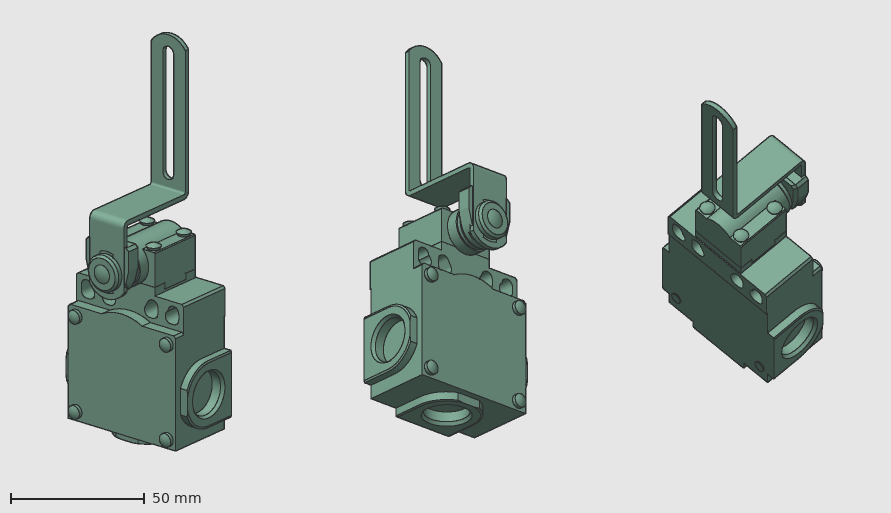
import cadquery as cq
import math


body_width = 52.0
body_depth = 28.8
cover_height = 46.3
shoulder_height = 57.5
upper_depth = 24.0
corner_chamfer = 0.9
crown_half_width = 9.8
crown_rise = 2.4
back_pad = 0.5
foot_radius = 2.2
foot_x = 22.0
foot_z = 6.9

entry_projection = 3.5
entry_radius = 13.5
entry_depth = 25.9
entry_z = 19.1
entry_edge_out = 0.8
entry_edge_in = 0.3
entry_bore_radius = 8.75
entry_bore_depth = 5.5
entry_bore_chamfer = 0.8
entry_chamfer_depth = 1.5

cover_screw_radius = 2.75
cover_screw_rim = 1.5
cover_screw_dome = 0.8
cover_screw_x = 22.1
cover_screw_z = (3.8, 42.2)

mount_radius = 2.6
mount_top_z = 53.1
mount_low_z = 50.9
mount_shift = 1.3
mount_outer_x = 21.0
mount_inner_x = 10.9

head_width = 24.0
head_base_z = 61.0
head_top_z = 75.0
head_edge = 0.4
tongue_bottom_z = 58.5
tongue_back = 5.7
tongue_front = 17.9
shaft_z = 68.4
barrel_radius = 9.0
barrel_depth = 28.9
head_screw_radius = 2.9
head_screw_x = 8.9
head_screw_depths = (3.1, 20.9)
head_screw_cone_base = 2.3
head_screw_cone = 1.2
head_screw_dome = 1.1

lever_width = 16.6
lever_thickness = 2.0
lever_front = 37.8
lever_bottom_z = shaft_z - 10.8
lever_top_z = 152.97
lever_step_z = 90.7
lever_end_radius = 10.0
bend_inner_radius = 0.9
bend_outer_radius = bend_inner_radius + lever_thickness
lever_slot_width = 5.2
lever_slot_length = 53.7
lever_slot_margin = 4.7

hub_half_width = 10.3
hub_top_z = 80.3
hub_chamfer = 1.2
hub_side_bottom_z = 71.1
hub_radius = 9.3
hub_flare_z = 66.5
hub_back = 30.6
hub_front = 37.4
hub_collar = 1.2
hub_collar_side_inset = 1.3
hub_collar_inset = 0.7
neck_radius = 8.4
key_width = 6.4
key_radius = 8.4
shaft_radius = 3.7
hub_pocket_z = (60.5, 62.6)
hub_pocket_length = 1.8

nut_radius = 7.4
nut_thickness = 2.8
nut_chamfer_out = 1.0
nut_chamfer_in = 0.9
shaft_tip = 41.35


def front_plane(depth, x=0, z=0):
    """Sketch plane at a depth in front of Y = 0; extrusion runs forward."""
    return cq.Workplane("XZ", origin=(x, -depth, z))


def block(width, depth_from, depth_to, z_from, z_to):
    """Box centred on X between two depths and two heights."""
    depth = depth_to - depth_from
    return (
        front_plane(depth_from)
        .center(0, (z_from + z_to) / 2)
        .rect(width, z_to - z_from)
        .extrude(depth)
    )


def dome(radius, height):
    """Spherical cap standing on the XY plane."""
    sphere_radius = (radius**2 + height**2) / (2 * height)
    mid_x = radius / 2
    mid_z = height - sphere_radius + math.sqrt(sphere_radius**2 - mid_x**2)
    return (
        cq.Workplane("XZ")
        .lineTo(radius, 0)
        .threePointArc((mid_x, mid_z), (0, height))
        .close()
        .revolve(360, (0, 0, 0), (0, 1, 0))
    )


def main_block():
    half = body_width / 2
    cover = (
        front_plane(0)
        .moveTo(-half, 0)
        .lineTo(half, 0)
        .lineTo(half, cover_height - corner_chamfer)
        .lineTo(half - corner_chamfer, cover_height)
        .lineTo(crown_half_width, cover_height)
        .threePointArc((0, cover_height + crown_rise), (-crown_half_width, cover_height))
        .lineTo(-half + corner_chamfer, cover_height)
        .lineTo(-half, cover_height - corner_chamfer)
        .close()
        .extrude(body_depth)
    )
    upper = block(body_width, 0, upper_depth, 0, shoulder_height)
    pad = block(body_width, -back_pad, 0, cover_height - corner_chamfer, shoulder_height)
    upper = upper.union(pad).edges("|Y and >Z").chamfer(corner_chamfer)
    return cover.union(upper)


def head_stub():
    stub = block(head_width, 0, upper_depth, shoulder_height, head_base_z)
    recess = block(head_width, tongue_back, tongue_front, tongue_bottom_z, head_base_z)
    return stub.cut(recess)


def cable_entry(plane):
    """Boss and its bore; the plane's local x points to the front, z outward."""
    boss = (
        cq.Workplane(plane)
        .moveTo(-entry_radius, -entry_radius)
        .lineTo(entry_radius, -entry_radius)
        .threePointArc((2 * entry_radius, 0), (entry_radius, entry_radius))
        .lineTo(-entry_radius, entry_radius)
        .close()
        .extrude(entry_projection)
    )
    boss = boss.faces(cq.selectors.DirectionMinMaxSelector(plane.zDir))
    boss = boss.chamfer(entry_edge_in, entry_edge_out)
    flat_trim = (
        cq.Workplane(plane)
        .center(entry_depth / 2, 0)
        .rect(entry_depth, 2 * entry_radius)
        .extrude(entry_projection)
    )
    boss = boss.intersect(flat_trim)
    mouth = entry_bore_radius + entry_bore_chamfer
    bore_profile = (
        cq.Workplane(cq.Plane(plane.origin, plane.xDir, -plane.yDir))
        .moveTo(entry_radius, entry_projection)
        .lineTo(entry_radius + mouth, entry_projection)
        .lineTo(entry_radius + entry_bore_radius, entry_projection - entry_chamfer_depth)
        .lineTo(entry_radius + entry_bore_radius, entry_projection - entry_bore_depth)
        .lineTo(entry_radius, entry_projection - entry_bore_depth)
        .close()
    )
    bore = bore_profile.revolve(360, (entry_radius, 0, 0), (entry_radius, 1, 0))
    return boss, bore


def slot_between(start, end):
    """Through slot whose end arcs are centred on two (x, z) points."""
    run = end[0] - start[0]
    rise = end[1] - start[1]
    length = math.hypot(run, rise) + 2 * mount_radius
    middle_x = (start[0] + end[0]) / 2
    middle_z = (start[1] + end[1]) / 2
    angle = math.degrees(math.atan2(rise, run))
    slot = front_plane(-back_pad, middle_x, middle_z).slot2D(length, 2 * mount_radius, angle)
    return slot.extrude(body_depth)


def cut_mounting_holes(housing):
    """Vertical slots with a toe towards the middle; the inner pair is filled out diagonally."""
    for side in (-1, 1):
        for x in (mount_outer_x, mount_inner_x):
            top = (side * x, mount_top_z)
            low = (side * x, mount_low_z)
            toe = (side * (x - mount_shift), mount_low_z)
            housing = housing.cut(slot_between(low, top)).cut(slot_between(low, toe))
            if x == mount_inner_x:
                housing = housing.cut(slot_between(toe, top))
    return housing


def cover_screw(x, z):
    """Cylindrical screw head with a domed top on the cover."""
    rim = front_plane(body_depth, x, z).circle(cover_screw_radius).extrude(cover_screw_rim)
    cap = dome(cover_screw_radius, cover_screw_dome).rotate((0, 0, 0), (1, 0, 0), 90)
    return rim.union(cap.translate((x, -body_depth - cover_screw_rim, z)))


def make_housing():
    half = body_width / 2
    housing = main_block().union(head_stub())
    entry_planes = [
        cq.Plane((-half, 0, entry_z), (0, -1, 0), (-1, 0, 0)),
        cq.Plane((half, 0, entry_z), (0, -1, 0), (1, 0, 0)),
        cq.Plane((0, 0, 0), (0, -1, 0), (0, 0, -1)),
    ]
    for plane in entry_planes:
        boss, bore = cable_entry(plane)
        housing = housing.union(boss).cut(bore)
    feet = (
        front_plane(-back_pad)
        .pushPoints([(-foot_x, foot_z), (foot_x, foot_z)])
        .circle(foot_radius)
        .extrude(back_pad)
    )
    housing = housing.union(feet)
    for x in (-cover_screw_x, cover_screw_x):
        for z in cover_screw_z:
            housing = housing.union(cover_screw(x, z))
    return cut_mounting_holes(housing)


def head_screw():
    """Countersunk, domed screw head, standing on the XY plane."""
    cone = (
        cq.Workplane("XY")
        .circle(head_screw_cone_base)
        .workplane(offset=head_screw_cone)
        .circle(head_screw_radius)
        .loft()
    )
    cap = dome(head_screw_radius, head_screw_dome)
    return cone.union(cap.translate((0, 0, head_screw_cone)))


def make_head():
    head = block(head_width, 0, upper_depth, head_base_z, head_top_z)
    head = head.faces(">Z").edges("|Y").chamfer(head_edge)
    tongue = block(head_width, tongue_back, tongue_front, tongue_bottom_z, head_base_z)
    barrel = front_plane(0, 0, shaft_z).circle(barrel_radius).extrude(barrel_depth)
    barrel = barrel.cut(block(head_width, 0, upper_depth, tongue_bottom_z, head_base_z))
    head = head.union(tongue).union(barrel)
    for x in (-head_screw_x, head_screw_x):
        for depth in head_screw_depths:
            head = head.union(head_screw().translate((x, -depth, head_top_z)))
    return head


def key_and_shaft(key_from, key_to):
    """Key and shaft that fill the lever opening between two depths."""
    length = key_to - key_from
    key = front_plane(key_from, 0, shaft_z).circle(key_radius).extrude(length)
    key = key.intersect(block(key_width, key_from, key_to, lever_bottom_z, hub_top_z))
    shaft = front_plane(key_from, 0, shaft_z).circle(shaft_radius).extrude(length)
    return key.union(shaft)


def hub_outline(workplane, side_inset, inset):
    """Draw the hub outline, shrunk at the sides and at the top and underside."""
    radius = hub_radius - inset
    half = hub_half_width - side_inset
    top_z = hub_top_z - inset
    flare_x = math.sqrt(radius**2 - (shaft_z - hub_flare_z) ** 2)
    return (
        workplane.moveTo(-flare_x, hub_flare_z)
        .threePointArc((0, shaft_z - radius), (flare_x, hub_flare_z))
        .lineTo(half, hub_side_bottom_z)
        .lineTo(half, top_z - hub_chamfer)
        .lineTo(half - hub_chamfer, top_z)
        .lineTo(-half + hub_chamfer, top_z)
        .lineTo(-half, top_z - hub_chamfer)
        .lineTo(-half, hub_side_bottom_z)
        .close()
    )


def hub_body():
    block_back = hub_back + hub_collar
    body = hub_outline(front_plane(block_back), 0, 0).extrude(hub_front - block_back)
    collar = hub_outline(front_plane(hub_back), hub_collar_side_inset, hub_collar_inset)
    collar = hub_outline(collar.workplane(offset=hub_collar, origin=(0, 0, 0)), 0, 0)
    return body.union(collar.loft(ruled=True))


def make_hub(lever_back):
    groove = block(lever_width, lever_back, lever_front, 0, lever_top_z)
    hub = hub_body().cut(groove)
    pocket_back = lever_back - hub_pocket_length
    pockets = block(2 * hub_half_width, pocket_back, lever_back, *hub_pocket_z)
    pockets = pockets.cut(block(key_width, pocket_back, lever_back, *hub_pocket_z))
    hub = hub.cut(pockets)
    neck = front_plane(barrel_depth, 0, shaft_z).circle(neck_radius)
    hub = hub.union(neck.extrude(hub_back - barrel_depth))
    hub = hub.union(key_and_shaft(lever_back, lever_front))
    nut_front = lever_front + nut_thickness
    stem = front_plane(lever_front, 0, shaft_z).circle(shaft_radius).extrude(nut_thickness)
    tip = dome(shaft_radius, shaft_tip - nut_front).rotate((0, 0, 0), (1, 0, 0), 90)
    return hub.union(stem).union(tip.translate((0, -nut_front, shaft_z)))


def lever_outline():
    """Front outline with both ends rounded to shallow arcs."""
    half = lever_width / 2
    end_drop = lever_end_radius - math.sqrt(lever_end_radius**2 - half**2)
    return (
        front_plane(-back_pad)
        .moveTo(-half, lever_bottom_z + end_drop)
        .threePointArc((0, lever_bottom_z), (half, lever_bottom_z + end_drop))
        .lineTo(half, lever_top_z - end_drop)
        .threePointArc((0, lever_top_z), (-half, lever_top_z - end_drop))
        .close()
        .extrude(lever_front + back_pad)
    )


def make_lever(lever_back):
    step_bottom_z = lever_step_z - lever_thickness
    strip = (
        cq.Workplane("YZ")
        .moveTo(-lever_front, lever_bottom_z)
        .lineTo(-lever_front, lever_step_z)
        .lineTo(back_pad - lever_thickness, lever_step_z)
        .lineTo(back_pad - lever_thickness, lever_top_z)
        .lineTo(back_pad, lever_top_z)
        .lineTo(back_pad, step_bottom_z)
        .lineTo(-lever_back, step_bottom_z)
        .lineTo(-lever_back, lever_bottom_z)
        .close()
        .extrude(lever_width / 2, both=True)
    )
    outer_bends = [(0, -lever_front, lever_step_z), (0, back_pad, step_bottom_z)]
    inner_bends = [(0, -lever_back, step_bottom_z), (0, back_pad - lever_thickness, lever_step_z)]
    for point in outer_bends:
        strip = strip.edges(cq.NearestToPointSelector(point)).fillet(bend_outer_radius)
    for point in inner_bends:
        strip = strip.edges(cq.NearestToPointSelector(point)).fillet(bend_inner_radius)
    slot_z = lever_top_z - lever_slot_margin - lever_slot_length / 2
    slot = (
        front_plane(-back_pad, 0, slot_z)
        .slot2D(lever_slot_length, lever_slot_width, 90)
        .extrude(lever_thickness)
    )
    lever = strip.intersect(lever_outline()).cut(slot)
    return lever.cut(key_and_shaft(lever_back, lever_front))


def make_nut():
    nut = front_plane(lever_front, 0, shaft_z).circle(nut_radius).extrude(nut_thickness)
    nut = nut.faces("<Y").chamfer(nut_chamfer_in, nut_chamfer_out)
    bore = front_plane(lever_front, 0, shaft_z).circle(shaft_radius).extrude(nut_thickness)
    return nut.cut(bore)


lever_back_depth = lever_front - lever_thickness
housing = make_housing()
head = make_head()
hub = make_hub(lever_back_depth)
lever = make_lever(lever_back_depth)
nut = make_nut()

result = cq.Compound.makeCompound(
    [housing.val(), head.val(), hub.val(), lever.val(), nut.val()]
)